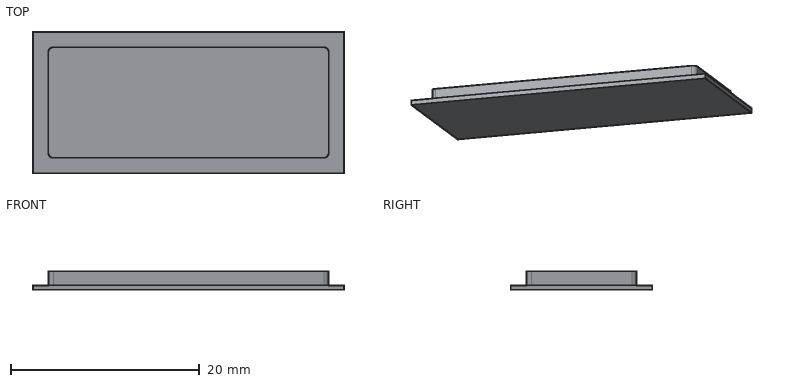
import cadquery as cq

plate_length = 33.0
plate_width = 15.0
plate_thickness = 0.5

total_height = 2.0
rim_margin = 1.65
block_corner_radius = 0.5

block_length = plate_length - 2 * rim_margin
block_width = plate_width - 2 * rim_margin
block_height = total_height - plate_thickness


def make_plate():
    """Thin rectangular plate with its underside on Z = 0."""
    return cq.Workplane("XY").box(
        plate_length, plate_width, plate_thickness, centered=(True, True, False)
    )


def make_block():
    """Block standing on the plate, with rounded vertical corners."""
    return (
        cq.Workplane("XY", origin=(0, 0, plate_thickness))
        .box(block_length, block_width, block_height, centered=(True, True, False))
        .edges("|Z")
        .fillet(block_corner_radius)
    )


result = make_plate().union(make_block())